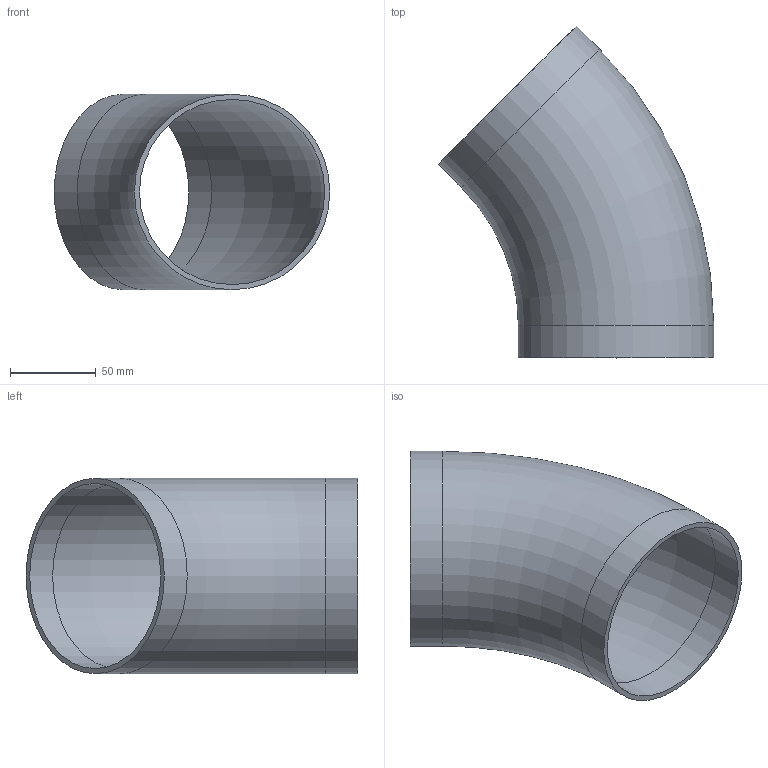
import cadquery as cq
import math

outer_diameter = 114.3
wall = 3.0
bend_angle = 45.0
center_to_end = 90.0
bend_radius = 1.5 * outer_diameter
leg_length = center_to_end - bend_radius * math.tan(math.radians(bend_angle / 2))
inner_diameter = outer_diameter - 2 * wall


def point_on_bend(angle):
    """Point on the centerline arc, which curves from +Y towards -X."""
    turn = math.radians(angle)
    x = bend_radius * (math.cos(turn) - 1)
    y = leg_length + bend_radius * math.sin(turn)
    return x, y


def centerline():
    """Straight leg, tangent arc, straight leg, all in the XY plane."""
    bend_end_x, bend_end_y = point_on_bend(bend_angle)
    end_direction = math.radians(bend_angle)
    pipe_end = (
        bend_end_x - leg_length * math.sin(end_direction),
        bend_end_y + leg_length * math.cos(end_direction),
    )
    return (
        cq.Workplane("XY")
        .lineTo(0, leg_length)
        .threePointArc(point_on_bend(bend_angle / 2), (bend_end_x, bend_end_y))
        .lineTo(*pipe_end)
    )


def pipe_section():
    """Ring-shaped cross-section at the first end face."""
    return cq.Workplane("XZ").circle(outer_diameter / 2).circle(inner_diameter / 2)


result = pipe_section().sweep(centerline())